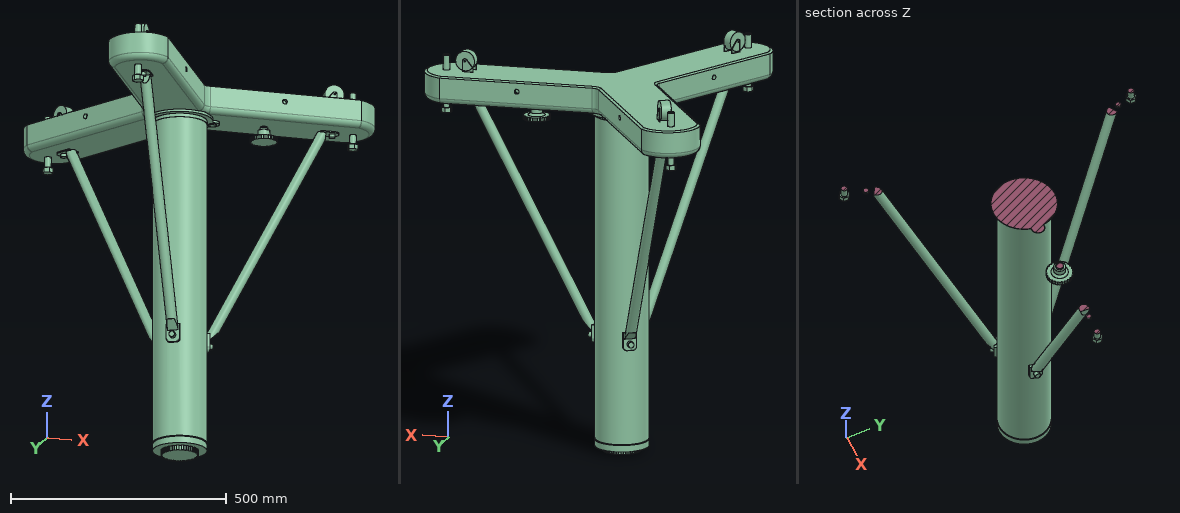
import cadquery as cq
import math

ARM_ANGLES = (0, 120, 240)
TOTAL_HEIGHT = 934

BODY_TOP = 885.0
BODY_BOTTOM = 819.0
ARM_WIDTH = 142.0
END_RADIUS = 75
END_CENTER = 395.0
INNER_CORNER_RADIUS = 21.0
BOTTOM_FILLET = 14.0
TOP_CHAMFER_IN = 7.0
TOP_CHAMFER_DOWN = 3.0
SIDE_HOLE_DIAMETER = 11.0
SIDE_HOLE_DEPTH = 9
SIDE_HOLE_REACH = 233
SIDE_HOLE_Z = 862.0

COLUMN_DIAMETER = 127.0
FLANGE_DIAMETER = 155.0
FLANGE_THICKNESS = 6.0
COLLAR_DIAMETER = 128.0
COLLAR_HEIGHT = 8.0
SPIGOT_DIAMETER = 88.0
SPIGOT_ROOT_DIAMETER = 83.0
SPIGOT_HEIGHT = 11.0
SPIGOT_TOOTH_COUNT = 24
SPIGOT_GAP_WIDTH = 6.0
END_CAP_HEIGHT = 16.0
CAP_GROOVE_WIDTH = 2.0
CAP_GROOVE_DEPTH = 1.0

PLUG_SHOULDER_DIAMETER = 32.0
PLUG_DIAMETER = 19
PLUG_HEIGHT = 8.0
PLUG_REACH = 79.0

BOLT_DIAMETER = 16.0
BOLT_REACH = 419.0
BOLT_LENGTH = 138.0
BOLT_BOTTOM = 781.0
BOLT_HEAD_FLATS = 22.0
BOLT_HEAD_HEIGHT = 12.0
BOLT_TOP_CHAMFER = 2.0
FIRST_BOLT_LIFT = 3.0

WHEEL_DIAMETER = 47
WHEEL_WIDTH = 23.0
CASTER_REACH = 372.0
CASTER_OFFSET = -2.0
CASTER_TOE_ANGLE = -4
CHEEK_THICKNESS = 2.0
CHEEK_TIP_RADIUS = 6.0
CHEEK_FOOT_LENGTH = 20.0
CHEEK_SHOULDER_DROP = 15.0
AXLE_DIAMETER = 3.2
AXLE_OVERHANG = 1.0

STRUT_DIAMETER = 25.0
STRUT_LOW = (92.0, 329.0)
STRUT_HIGH = (331.5, 788.0)
STRUT_EXCESS = 0.25
STRUT_END_X = 350.0
STRUT_TOE_Z = 284.0
STRUT_HEEL = (91.0, 304.0)
TAB_WIDTH = 32.0
TAB_SCREW_DIAMETER = 14.0
LOWER_TAB_THICKNESS = 6.0
LOWER_TAB_TOP = 299
LOWER_TAB_CORNER_RADIUS = 9
LOWER_SCREW_Z = 272.0
LOWER_SCREW_HEIGHT = 10.0
UPPER_TAB_THICKNESS = 3.0
UPPER_SCREW_REACH = 369.0
UPPER_SCREW_HEIGHT = 7.5

KNOB_REACH = 204.0
KNOB_DISC_DIAMETER = 63.5
KNOB_NOTCH_DIAMETER = 3.2
KNOB_NOTCH_COUNT = 24
KNOB_STEPS = ((16.0, 3.0), (19, 7.0), (28, 13.0))
KNOB_CONE_DIAMETER = 40.0
KNOB_CONE_HEIGHT = 6.0
KNOB_DISC_HEIGHT = 9

OVERLAP = 2.0


def cylinder(diameter, bottom, top, x=0):
    """Vertical cylinder centred at (x, 0)."""
    return cq.Workplane("XY", origin=(x, 0, bottom)).circle(diameter / 2).extrude(top - bottom)


def on_each_arm(shape):
    """Copies of a shape drawn along +X, turned onto every arm."""
    copies = [shape.rotate((0, 0, 0), (0, 0, 1), angle) for angle in ARM_ANGLES]
    return copies[0].union(copies[1]).union(copies[2])


def make_body():
    half_width = ARM_WIDTH / 2
    end_start = END_CENTER + math.sqrt(END_RADIUS**2 - half_width**2)
    arm = (
        cq.Workplane("XY", origin=(0, 0, BODY_BOTTOM))
        .moveTo(0, -half_width)
        .lineTo(end_start, -half_width)
        .threePointArc((END_CENTER + END_RADIUS, 0), (end_start, half_width))
        .lineTo(0, half_width)
        .close()
        .extrude(BODY_TOP - TOP_CHAMFER_DOWN - BODY_BOTTOM)
    )
    body = on_each_arm(arm)
    corner_zone = cq.selectors.BoxSelector(
        (-ARM_WIDTH, -ARM_WIDTH, BODY_BOTTOM),
        (ARM_WIDTH, ARM_WIDTH, BODY_TOP),
    )
    body = body.edges("|Z").edges(corner_zone).fillet(INNER_CORNER_RADIUS)
    body = body.faces("<Z").edges().fillet(BOTTOM_FILLET)
    rim_taper = math.degrees(math.atan2(TOP_CHAMFER_IN, TOP_CHAMFER_DOWN))
    body = body.faces(">Z").wires().toPending().workplane().extrude(TOP_CHAMFER_DOWN, taper=rim_taper)
    side_hole = (
        cq.Workplane("XZ", origin=(SIDE_HOLE_REACH, -half_width, SIDE_HOLE_Z))
        .circle(SIDE_HOLE_DIAMETER / 2)
        .extrude(-SIDE_HOLE_DEPTH)
    )
    side_holes = side_hole.union(side_hole.mirror("XZ"))
    return body.cut(on_each_arm(side_holes))


def make_column():
    flange_bottom = BODY_BOTTOM - FLANGE_THICKNESS
    cap_top = SPIGOT_HEIGHT + END_CAP_HEIGHT
    column = cylinder(COLUMN_DIAMETER, SPIGOT_HEIGHT, BODY_BOTTOM + OVERLAP)
    groove = cylinder(COLLAR_DIAMETER, cap_top, cap_top + CAP_GROOVE_WIDTH).cut(
        cylinder(COLUMN_DIAMETER - 2 * CAP_GROOVE_DEPTH, cap_top, cap_top + CAP_GROOVE_WIDTH)
    )
    flange = cylinder(FLANGE_DIAMETER, flange_bottom, BODY_BOTTOM + OVERLAP)
    collar = cylinder(COLLAR_DIAMETER, flange_bottom - COLLAR_HEIGHT, BODY_BOTTOM)
    shoulder = cylinder(PLUG_SHOULDER_DIAMETER, flange_bottom, BODY_BOTTOM + OVERLAP, PLUG_REACH)
    plug = cylinder(PLUG_DIAMETER, BODY_BOTTOM - PLUG_HEIGHT, BODY_BOTTOM + OVERLAP, PLUG_REACH)
    column = column.cut(groove)
    for piece in (flange, collar, shoulder, plug, make_spigot()):
        column = column.union(piece)
    return column


def make_spigot():
    """Toothed ring on the lower end of the column."""
    tooth_depth = (SPIGOT_DIAMETER - SPIGOT_ROOT_DIAMETER) / 2
    gaps = (
        cq.Workplane("XY")
        .polarArray(SPIGOT_ROOT_DIAMETER / 2 + tooth_depth, 0, 360, SPIGOT_TOOTH_COUNT)
        .rect(2 * tooth_depth, SPIGOT_GAP_WIDTH)
        .extrude(SPIGOT_HEIGHT)
    )
    return cylinder(SPIGOT_DIAMETER, 0, SPIGOT_HEIGHT + OVERLAP).cut(gaps)


def make_bolt():
    shank = cylinder(BOLT_DIAMETER, BOLT_BOTTOM, BOLT_BOTTOM + BOLT_LENGTH, BOLT_REACH)
    shank = shank.faces(">Z").chamfer(BOLT_TOP_CHAMFER)
    head = (
        cq.Workplane("XY", origin=(BOLT_REACH, 0, BOLT_BOTTOM))
        .polygon(6, BOLT_HEAD_FLATS, circumscribed=True)
        .extrude(BOLT_HEAD_HEIGHT)
    )
    return shank.union(head)


def make_bolts():
    bolt = make_bolt()
    bolts = bolt.translate((0, 0, FIRST_BOLT_LIFT))
    for angle in ARM_ANGLES[1:]:
        bolts = bolts.union(bolt.rotate((0, 0, 0), (0, 0, 1), angle))
    return bolts


def make_caster():
    """Wheel between two cheeks that lean inwards along the arm."""
    axle_z = TOTAL_HEIGHT - WHEEL_DIAMETER / 2
    foot_z = BODY_TOP - OVERLAP - axle_z
    side_plane = cq.Workplane("XZ", origin=(0, 0, axle_z))
    wheel = side_plane.circle(WHEEL_DIAMETER / 2).extrude(WHEEL_WIDTH / 2, both=True)
    shoulder_distance = math.hypot(CHEEK_FOOT_LENGTH, CHEEK_SHOULDER_DROP)
    shoulder_angle = math.atan2(CHEEK_SHOULDER_DROP, CHEEK_FOOT_LENGTH)
    tangent_angle = math.pi + shoulder_angle - math.acos(CHEEK_TIP_RADIUS / shoulder_distance)
    tangent_x = CHEEK_TIP_RADIUS * math.cos(tangent_angle)
    tangent_z = CHEEK_TIP_RADIUS * math.sin(tangent_angle)
    half_width = WHEEL_WIDTH / 2 + CHEEK_THICKNESS
    cheek = (
        side_plane.workplane(offset=WHEEL_WIDTH / 2)
        .moveTo(CHEEK_TIP_RADIUS, foot_z)
        .lineTo(CHEEK_TIP_RADIUS, 0)
        .threePointArc((0, CHEEK_TIP_RADIUS), (tangent_x, tangent_z))
        .lineTo(-CHEEK_FOOT_LENGTH, -CHEEK_SHOULDER_DROP)
        .lineTo(-CHEEK_FOOT_LENGTH, foot_z)
        .close()
        .extrude(CHEEK_THICKNESS)
    )
    cheeks = cheek.union(cheek.mirror("XZ"))
    axle = side_plane.circle(AXLE_DIAMETER / 2).extrude(half_width + AXLE_OVERHANG, both=True)
    caster = wheel.union(cheeks).union(axle)
    return caster.rotate((0, 0, 0), (0, 0, 1), CASTER_TOE_ANGLE).translate((CASTER_REACH, CASTER_OFFSET, 0))


def make_strut():
    """Sloping round bar, trimmed at both ends, with a screwed tab at each end."""
    column_radius = COLUMN_DIAMETER / 2
    run = STRUT_HIGH[0] - STRUT_LOW[0]
    rise = STRUT_HIGH[1] - STRUT_LOW[1]
    axis = cq.Vector(run, 0, rise)
    bar_plane = cq.Plane(
        origin=(STRUT_LOW[0] - run * STRUT_EXCESS, 0, STRUT_LOW[1] - rise * STRUT_EXCESS),
        xDir=(0, 1, 0),
        normal=axis,
    )
    bar = cq.Workplane(bar_plane).circle(STRUT_DIAMETER / 2).extrude((1 + 2 * STRUT_EXCESS) * axis.Length)
    tab_outside = column_radius + LOWER_TAB_THICKNESS
    trim = (
        cq.Workplane("XZ")
        .moveTo(column_radius, BODY_BOTTOM)
        .lineTo(column_radius, STRUT_TOE_Z)
        .lineTo(tab_outside, STRUT_TOE_Z)
        .lineTo(*STRUT_HEEL)
        .lineTo(STRUT_END_X, STRUT_HEEL[1])
        .lineTo(STRUT_END_X, BODY_BOTTOM)
        .close()
        .extrude(STRUT_DIAMETER, both=True)
    )
    bar = bar.intersect(trim)

    tab_inside = column_radius - OVERLAP
    tab_depth = tab_outside - tab_inside
    lower_plane = cq.Workplane("YZ", origin=(tab_inside, 0, LOWER_SCREW_Z))
    tab_rise = LOWER_TAB_TOP - LOWER_SCREW_Z
    tab_drop = TAB_WIDTH / 2
    lower_tab = (
        lower_plane.center(0, (tab_rise - tab_drop) / 2)
        .rect(TAB_WIDTH, tab_rise + tab_drop)
        .extrude(tab_depth)
        .edges("|X and <Z")
        .fillet(LOWER_TAB_CORNER_RADIUS)
    )
    lower_screw = lower_plane.circle(TAB_SCREW_DIAMETER / 2).extrude(tab_depth + LOWER_SCREW_HEIGHT)

    tab_bottom = BODY_BOTTOM - UPPER_TAB_THICKNESS
    upper_tab = cylinder(TAB_WIDTH, tab_bottom, BODY_BOTTOM + OVERLAP, UPPER_SCREW_REACH)
    tab_start = STRUT_END_X - STRUT_DIAMETER / 2
    upper_tab = upper_tab.union(
        cq.Workplane("XY", origin=(tab_start, 0, tab_bottom)).box(
            UPPER_SCREW_REACH - tab_start,
            TAB_WIDTH,
            UPPER_TAB_THICKNESS + OVERLAP,
            centered=(False, True, False),
        )
    )
    screw_bottom = tab_bottom - UPPER_SCREW_HEIGHT
    upper_screw = cylinder(TAB_SCREW_DIAMETER, screw_bottom, BODY_BOTTOM, UPPER_SCREW_REACH)
    return bar.union(lower_tab).union(lower_screw).union(upper_tab).union(upper_screw)


def make_knob():
    knob = cylinder(KNOB_STEPS[0][0], BODY_BOTTOM, BODY_BOTTOM + OVERLAP, KNOB_REACH)
    level = BODY_BOTTOM
    for diameter, height in KNOB_STEPS:
        knob = knob.union(cylinder(diameter, level - height, level, KNOB_REACH))
        level -= height
    cone = (
        cq.Workplane("XY", origin=(KNOB_REACH, 0, level))
        .circle(KNOB_STEPS[-1][0] / 2)
        .workplane(offset=-KNOB_CONE_HEIGHT)
        .circle(KNOB_CONE_DIAMETER / 2)
        .loft()
    )
    level -= KNOB_CONE_HEIGHT
    disc = cylinder(KNOB_DISC_DIAMETER, level - KNOB_DISC_HEIGHT, level, KNOB_REACH)
    notches = (
        cq.Workplane("XY", origin=(KNOB_REACH, 0, level - KNOB_DISC_HEIGHT))
        .polarArray(KNOB_DISC_DIAMETER / 2, 0, 360, KNOB_NOTCH_COUNT)
        .circle(KNOB_NOTCH_DIAMETER / 2)
        .extrude(KNOB_DISC_HEIGHT)
    )
    return knob.union(cone).union(disc.cut(notches))


result = (
    make_body()
    .union(make_column())
    .union(make_bolts())
    .union(on_each_arm(make_caster()))
    .union(on_each_arm(make_strut()))
    .union(make_knob())
)